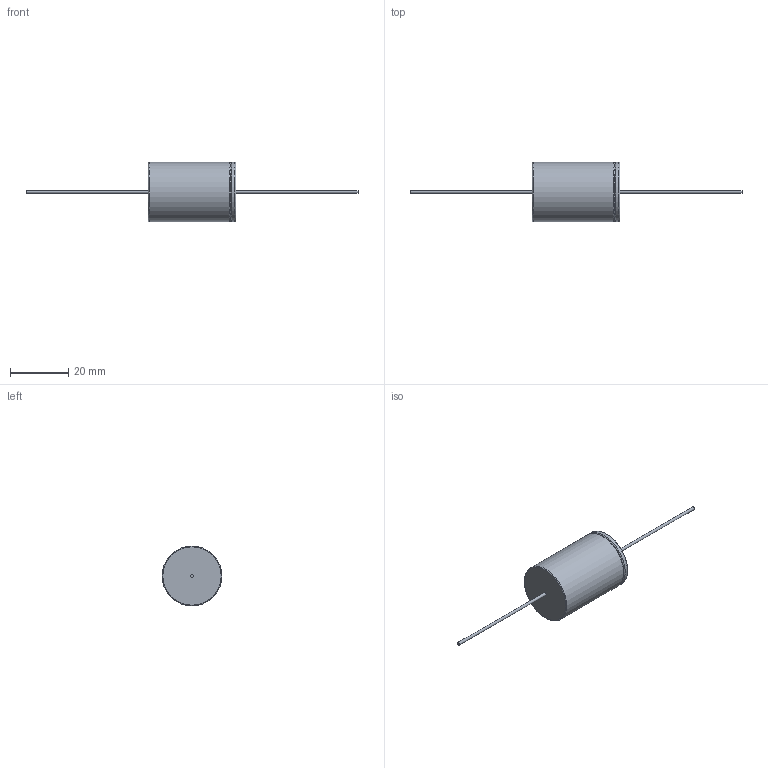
import cadquery as cq

overall_length = 114.0
body_length = 30.0
body_diameter = 20.5
lead_diameter = 1.0

rim_radius = 0.25

groove_width = 0.75
groove_depth = 0.25
groove_end_distance = 1.75

body_radius = body_diameter / 2
body_end = body_length / 2
groove_center = body_end - groove_end_distance


def make_body():
    """Can with rounded rims, centred on the origin and lying along X."""
    body = cq.Workplane("YZ", origin=(-body_end, 0, 0)).circle(body_radius).extrude(body_length)
    return body.edges("%CIRCLE").fillet(rim_radius)


def make_groove():
    """Ring of V section that cuts the groove around the body."""
    half_width = groove_width / 2
    section = (
        cq.Workplane("XY")
        .moveTo(groove_center - half_width, body_radius)
        .lineTo(groove_center, body_radius - groove_depth)
        .lineTo(groove_center + half_width, body_radius)
        .close()
    )
    return section.revolve(360, (0, 0, 0), (1, 0, 0))


def make_leads():
    """Straight wire on the axis that runs through the body and out of both ends."""
    lead_start = -overall_length / 2
    return cq.Workplane("YZ", origin=(lead_start, 0, 0)).circle(lead_diameter / 2).extrude(overall_length)


result = make_body().cut(make_groove()).union(make_leads())